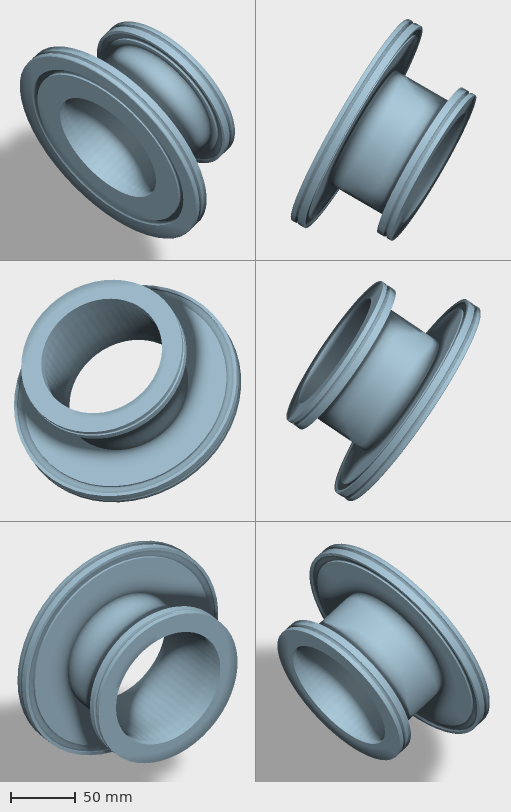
import cadquery as cq

length = 75.0
bore_diameter = 97.5
tube_diameter = 101.5
large_flange_diameter = 180.0
small_flange_diameter = 130.0

flange_thickness = 12.0
rim_groove_radius = 1.5
rim_groove_offset = 5.0
clamp_groove_rim_width = 2.5
clamp_groove_width = 6.0
clamp_groove_depth = 2.0

seal_groove_outer_diameter = 153.0
seal_groove_inner_diameter = 143.3
seal_groove_depth = 5.0
rim_chamfer = 0.5


def cylinder(diameter, start, height):
    """Cylinder along +Y, beginning at Y = start."""
    plane = cq.Workplane("XZ", origin=(0, start, 0))
    return plane.circle(diameter / 2).extrude(-height)


def ring(outer_diameter, inner_diameter, start, height):
    """Flat ring around the Y axis, beginning at Y = start."""
    return cylinder(outer_diameter, start, height).cut(cylinder(inner_diameter, start, height))


def rim_groove(flange_diameter, center_y):
    """Half-round groove cutter, centred on the flange rim."""
    profile = cq.Workplane("XY").center(flange_diameter / 2, center_y).circle(rim_groove_radius)
    axis_point = (-flange_diameter / 2, 0)
    axis_end = (-flange_diameter / 2, 1)
    return profile.revolve(360, axis_point, axis_end)


def clamp_groove(flange_diameter, start):
    """Shallow ring cutter for the flange face on the tube side."""
    outer_diameter = flange_diameter - 2 * clamp_groove_rim_width
    inner_diameter = outer_diameter - 2 * clamp_groove_width
    return ring(outer_diameter, inner_diameter, start, clamp_groove_depth)


large_flange = cylinder(large_flange_diameter, 0, flange_thickness)
large_flange = large_flange.faces("<Y").edges().chamfer(rim_chamfer)
large_flange = large_flange.cut(rim_groove(large_flange_diameter, rim_groove_offset))
large_flange = large_flange.cut(
    clamp_groove(large_flange_diameter, flange_thickness - clamp_groove_depth)
)
large_flange = large_flange.cut(
    ring(seal_groove_outer_diameter, seal_groove_inner_diameter, 0, seal_groove_depth)
)

small_flange_start = length - flange_thickness
small_flange = cylinder(small_flange_diameter, small_flange_start, flange_thickness)
small_flange = small_flange.cut(rim_groove(small_flange_diameter, length - rim_groove_offset))
small_flange = small_flange.cut(clamp_groove(small_flange_diameter, small_flange_start))

tube = cylinder(tube_diameter, 0, length)
bore = cylinder(bore_diameter, 0, length)
result = tube.union(large_flange).union(small_flange).cut(bore)